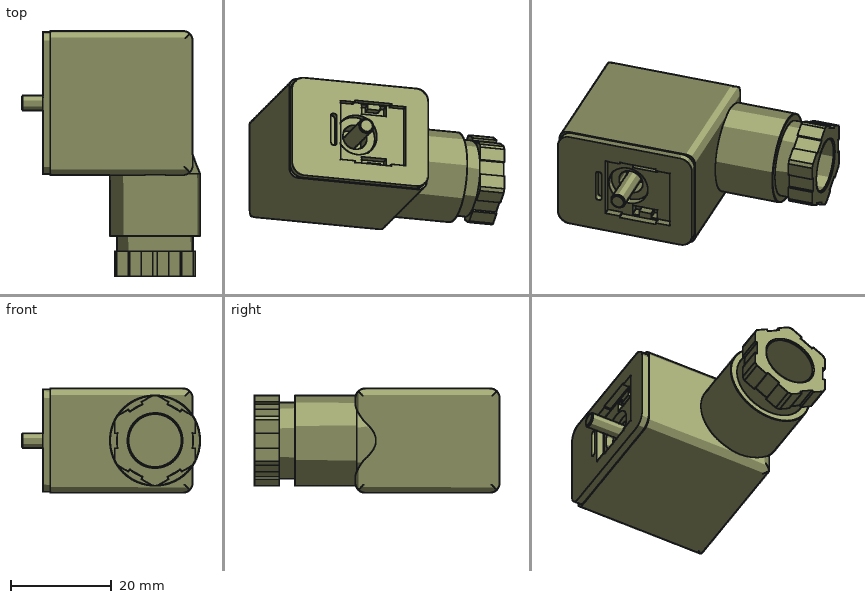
import cadquery as cq
import math


housing_depth = 28.3
housing_width = 28.7
housing_height = 20.8
housing_edge_radius = 2.0
gasket_thickness = 1.5
gasket_inset = 0.2
gasket_corner_radius = 2.5
outlet_face_y = -housing_width / 2

window_y_max = 4.1
window_y_min = -9.5
window_height = 12.3
window_undercut = 0.7
contact_face_x = 2.1
widening_y_max = 1.1
widening_y_min = -6.5
widening_height = 13.0

pocket_y_max = -0.9
pocket_y_min = -6.1
pocket_inner_z = 4.45
pocket_depth = 2.0
block_y_max = -2.25
block_y_min = -4.8
block_inner_z = 5.6

slot_center_y = 5.5
slot_width = 1.2
slot_length = 6.6
slot_corner_radius = 0.5

screw_diameter = 3.0
screw_protrusion = 4.2
screw_chamfer = 0.25
counterbore_diameter = 8.2
counterbore_depth = 1.5
screw_hole_diameter = 5.0
screw_hole_depth = 4.0

outlet_x = 22.3
collar_diameter = 18.0
collar_length = 12.1
collar_chamfer = 0.1
neck_diameter = 15.2
neck_length = 3.0
nut_length = 5.0
nut_across_flats = 16.0
nut_corner_diameter = 18.0
nut_sides = 6
grip_width = 3.0
grip_depth = 0.5
bore_diameter = 10.5
bore_chamfer = 0.25
taper_inset = 0.25
taper_length = 5.0
taper_slope = 0.39

neck_y = outlet_face_y - collar_length
nut_y = neck_y - neck_length
nut_end_y = nut_y - nut_length


def block(x_min, x_max, y_min, y_max, z_min, z_max):
    """Box given by its limits along each axis."""
    size = (x_max - x_min, y_max - y_min, z_max - z_min)
    return cq.Workplane("XY").box(*size, centered=False).translate((x_min, y_min, z_min))


def rod(diameter, x_min, x_max):
    """Cylinder on the screw axis."""
    return cq.Workplane("YZ", origin=(x_min, 0, 0)).circle(diameter / 2).extrude(x_max - x_min)


def outlet_plane(y):
    """Sketch plane across the outlet axis whose normal points to -Y."""
    return cq.Workplane("XZ", origin=(outlet_x, y, 0))


def make_housing():
    """Box rounded along all edges but the gasket side, with mitred corners."""
    x_end = gasket_thickness + housing_depth
    half_width = housing_width / 2
    half_height = housing_height / 2
    stock_start = gasket_thickness - 2 * housing_edge_radius
    stock = block(stock_start, x_end, -half_width, half_width, -half_height, half_height)
    housing = stock.edges("|X").fillet(housing_edge_radius)
    for direction in ("|Y", "|Z"):
        housing = housing.intersect(stock.edges(direction).fillet(housing_edge_radius))
    trim = block(gasket_thickness, x_end, -half_width, half_width, -half_height, half_height)
    return housing.intersect(trim)


def make_gasket():
    half_width = housing_width / 2 - gasket_inset
    half_height = housing_height / 2 - gasket_inset
    plate = block(0, gasket_thickness, -half_width, half_width, -half_height, half_height)
    return plate.edges("|X").fillet(gasket_corner_radius)


def make_outlet():
    """Collar with its tapered root in the housing, and the neck."""
    collar = outlet_plane(outlet_face_y + taper_inset).circle(collar_diameter / 2)
    collar = collar.extrude(collar_length + taper_inset).faces("<Y").chamfer(collar_chamfer)
    root_radius = collar_diameter / 2 - taper_slope * taper_length
    taper = outlet_plane(outlet_face_y + taper_inset).circle(collar_diameter / 2)
    taper = taper.workplane(offset=-taper_length).circle(root_radius).loft()
    neck = outlet_plane(neck_y).circle(neck_diameter / 2).extrude(neck_length)
    return collar.union(taper).union(neck)


def make_nut():
    """Hexagon with trimmed corners and a grip groove in the middle of each flat."""
    across_corners = nut_across_flats / math.cos(math.pi / nut_sides)
    hexagon = outlet_plane(nut_y).transformed(rotate=(0, 0, 180 / nut_sides))
    nut = hexagon.polygon(nut_sides, across_corners).extrude(nut_length)
    nut = nut.intersect(outlet_plane(nut_y).circle(nut_corner_diameter / 2).extrude(nut_length))
    for side in range(nut_sides):
        grip = outlet_plane(nut_y).transformed(rotate=(0, 0, side * 360 / nut_sides))
        grip = grip.center(nut_across_flats / 2, 0).rect(2 * grip_depth, grip_width)
        nut = nut.cut(grip.extrude(nut_length))
    return nut


def make_bore():
    """Cable bore from the nut end to the housing wall, with a chamfered mouth."""
    bore = outlet_plane(outlet_face_y).circle(bore_diameter / 2).extrude(outlet_face_y - nut_end_y)
    mouth = outlet_plane(nut_end_y).circle(bore_diameter / 2 + bore_chamfer)
    mouth = mouth.workplane(offset=-bore_chamfer).circle(bore_diameter / 2).loft()
    return bore.union(mouth)


def make_window():
    """Stepped opening through the gasket and the wider recess behind it."""
    half_height = window_height / 2
    half_widening = widening_height / 2
    opening = block(0, contact_face_x, window_y_min, window_y_max, -half_height, half_height)
    widening = block(0, contact_face_x, widening_y_min, widening_y_max, -half_widening, half_widening)
    recess_half_height = half_widening + window_undercut
    recess = block(
        gasket_thickness,
        contact_face_x,
        window_y_min - window_undercut,
        window_y_max + window_undercut,
        -recess_half_height,
        recess_half_height,
    )
    return opening.union(widening).union(recess)


def make_contact_pockets():
    """Pocket pair in the contact face, each leaving a small block standing."""
    outer_z = widening_height / 2
    x_end = contact_face_x + pocket_depth
    pocket = block(contact_face_x, x_end, pocket_y_min, pocket_y_max, pocket_inner_z, outer_z)
    pocket = pocket.cut(block(contact_face_x, x_end, block_y_min, block_y_max, block_inner_z, outer_z))
    return pocket.union(pocket.mirror("XY"))


def make_slot():
    half_length = slot_length / 2
    y_min = slot_center_y - slot_width / 2
    slot = block(0, gasket_thickness, y_min, y_min + slot_width, -half_length, half_length)
    return slot.edges("|X").fillet(slot_corner_radius)


def make_screw_hole():
    counterbore_end = contact_face_x + counterbore_depth
    counterbore = rod(counterbore_diameter, contact_face_x, counterbore_end)
    hole = rod(screw_hole_diameter, counterbore_end, counterbore_end + screw_hole_depth)
    return counterbore.union(hole)


def make_screw():
    """Screw shank, rooted in the material behind its hole."""
    root_x = contact_face_x + counterbore_depth + screw_hole_depth + screw_diameter
    return rod(screw_diameter, -screw_protrusion, root_x).faces("<X").chamfer(screw_chamfer)


body = make_housing().union(make_gasket()).union(make_outlet()).union(make_nut())
for cutter in (make_bore(), make_window(), make_contact_pockets(), make_slot(), make_screw_hole()):
    body = body.cut(cutter)
result = body.union(make_screw())